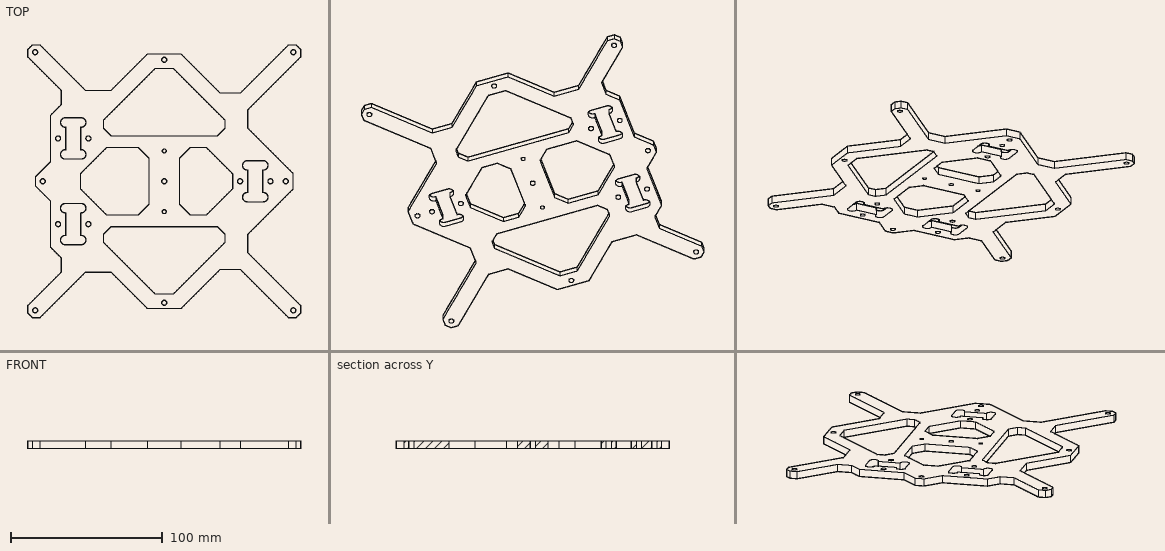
import cadquery as cq


THICKNESS = 5.0
HALF_SIZE = 90.0

ARM_OFFSET = 8.0
TIP_CHAMFER = 3.1

LEFT_ARM_ROOT_X = 68.0
LEFT_SIDE_X = 75.0
LEFT_SIDE_TOP_Y = 43.5
LEFT_SIDE_BOTTOM_Y = 13.0
LUG_X = 85.0
LEFT_LUG_HALF_WIDTH = LEFT_SIDE_BOTTOM_Y - (LUG_X - LEFT_SIDE_X)
RIGHT_LUG_HALF_WIDTH = 5.1
STRUT_Y = 84.0
STRUT_HALF_WIDTH = 11.0
STRUT_SUM = STRUT_Y + STRUT_HALF_WIDTH
LEFT_NOTCH_Y = 60.0
RIGHT_NOTCH_Y = 58.3
RIGHT_ARM_ROOT_X = 55.2

LARGE_BOTTOM_Y = 30.0
LARGE_TOP_Y = 74.3
LARGE_HALF_WIDTH = 40.0
LARGE_TOP_HALF_WIDTH = 6.0
LARGE_CHAMFER = 5.0

WINDOW_HALF_HEIGHT = 22.2
SPINE_HALF_WIDTH = 10.2
SPINE_CHAMFER = 7.0
WINDOW_END_HALF_HEIGHT = 5.0
LEFT_WINDOW_END = 55.2
RIGHT_WINDOW_END = 45.0

STATION_X = 60.0
STATION_Y = 28.25
SLOT_WIDTH = 16.6
SLOT_HEIGHT = 27.0
NECK_WIDTH = 9.8
FLANGE_HEIGHT = 6.0
FLANGE_RADIUS = 2.9
STATION_HOLE_OFFSET = 10.0

SCREW_DIAMETER = 3.2
SPINE_HOLE_DIAMETER = 2.5
ARM_HOLE = 85.1
EDGE_HOLE = 80.1
SPINE_HOLE = 20.0

STATIONS = [(-STATION_X, STATION_Y), (-STATION_X, -STATION_Y), (STATION_X, 0)]


def prism(points):
    return cq.Workplane("XY").polyline(points).close().extrude(THICKNESS)


def mirrored(points):
    """Close a left-to-right chain of points with its mirror image below the X axis."""
    return points + [(x, -y) for x, y in reversed(points)]


def plate():
    tip_edge = HALF_SIZE - ARM_OFFSET
    tip_corner = HALF_SIZE - TIP_CHAMFER
    left_step_y = LEFT_SIDE_TOP_Y + LEFT_SIDE_X - LEFT_ARM_ROOT_X
    lug_sum = LUG_X + RIGHT_LUG_HALF_WIDTH
    upper_edge = [
        (-LUG_X, LEFT_LUG_HALF_WIDTH),
        (-LEFT_SIDE_X, LEFT_SIDE_BOTTOM_Y),
        (-LEFT_SIDE_X, LEFT_SIDE_TOP_Y),
        (-LEFT_ARM_ROOT_X, left_step_y),
        (-LEFT_ARM_ROOT_X, LEFT_ARM_ROOT_X - ARM_OFFSET),
        (-HALF_SIZE, tip_edge),
        (-HALF_SIZE, tip_corner),
        (-tip_corner, HALF_SIZE),
        (-tip_edge, HALF_SIZE),
        (ARM_OFFSET - LEFT_NOTCH_Y, LEFT_NOTCH_Y),
        (LEFT_NOTCH_Y - STRUT_SUM, LEFT_NOTCH_Y),
        (-STRUT_HALF_WIDTH, STRUT_Y),
        (STRUT_HALF_WIDTH, STRUT_Y),
        (STRUT_SUM - RIGHT_NOTCH_Y, RIGHT_NOTCH_Y),
        (RIGHT_NOTCH_Y - ARM_OFFSET, RIGHT_NOTCH_Y),
        (tip_edge, HALF_SIZE),
        (tip_corner, HALF_SIZE),
        (HALF_SIZE, tip_corner),
        (HALF_SIZE, tip_edge),
        (RIGHT_ARM_ROOT_X, RIGHT_ARM_ROOT_X - ARM_OFFSET),
        (RIGHT_ARM_ROOT_X, lug_sum - RIGHT_ARM_ROOT_X),
        (LUG_X, RIGHT_LUG_HALF_WIDTH),
    ]
    return prism(mirrored(upper_edge))


def large_window(side):
    """Window between the cross bar and a strut; side is +1 (up) or -1 (down)."""
    shoulder_y = LARGE_TOP_Y - (LARGE_HALF_WIDTH - LARGE_TOP_HALF_WIDTH)
    right_edge = [
        (LARGE_HALF_WIDTH - LARGE_CHAMFER, LARGE_BOTTOM_Y),
        (LARGE_HALF_WIDTH, LARGE_BOTTOM_Y + LARGE_CHAMFER),
        (LARGE_HALF_WIDTH, shoulder_y),
        (LARGE_TOP_HALF_WIDTH, LARGE_TOP_Y),
    ]
    points = right_edge + [(-x, y) for x, y in reversed(right_edge)]
    return prism([(x, side * y) for x, y in points])


def spine_window(side, end_x):
    """Window beside the spine; side is -1 (left) or +1 (right), end_x its far edge."""
    taper = WINDOW_HALF_HEIGHT - WINDOW_END_HALF_HEIGHT
    upper_edge = [
        (SPINE_HALF_WIDTH, WINDOW_HALF_HEIGHT - SPINE_CHAMFER),
        (SPINE_HALF_WIDTH + SPINE_CHAMFER, WINDOW_HALF_HEIGHT),
        (end_x - taper, WINDOW_HALF_HEIGHT),
        (end_x, WINDOW_END_HALF_HEIGHT),
    ]
    return prism([(side * x, y) for x, y in mirrored(upper_edge)])


def station_slot(center):
    """I-shaped slot: two round-cornered flanges joined by a neck."""
    origin = cq.Workplane("XY").center(*center)
    flange_y = (SLOT_HEIGHT - FLANGE_HEIGHT) / 2
    flanges = (
        origin.pushPoints([(0, flange_y), (0, -flange_y)])
        .rect(SLOT_WIDTH, FLANGE_HEIGHT)
        .extrude(THICKNESS)
        .edges("|Z")
        .fillet(FLANGE_RADIUS)
    )
    neck_height = SLOT_HEIGHT - FLANGE_HEIGHT
    neck = origin.rect(NECK_WIDTH, neck_height).extrude(THICKNESS)
    return flanges.union(neck)


def holes(points, diameter):
    return cq.Workplane("XY").pushPoints(points).circle(diameter / 2).extrude(THICKNESS)


def screw_points():
    points = [(0, 0), (0, EDGE_HOLE), (0, -EDGE_HOLE), (EDGE_HOLE, 0), (-EDGE_HOLE, 0)]
    points += [(side_x * ARM_HOLE, side_y * ARM_HOLE) for side_x in (-1, 1) for side_y in (-1, 1)]
    for x, y in STATIONS:
        points += [(x - STATION_HOLE_OFFSET, y), (x + STATION_HOLE_OFFSET, y)]
    return points


result = plate()
for direction in (1, -1):
    result = result.cut(large_window(direction))
result = result.cut(spine_window(-1, LEFT_WINDOW_END))
result = result.cut(spine_window(1, RIGHT_WINDOW_END))
for station in STATIONS:
    result = result.cut(station_slot(station))
result = result.cut(holes(screw_points(), SCREW_DIAMETER))
result = result.cut(holes([(0, SPINE_HOLE), (0, -SPINE_HOLE)], SPINE_HOLE_DIAMETER))